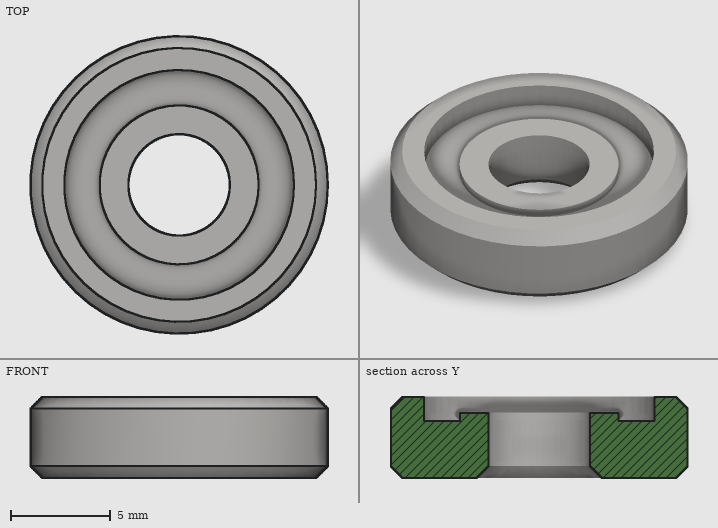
import cadquery as cq

outer_diameter = 15.0
height = 4.1
edge_chamfer = 0.6

recess_diameter = 11.58
recess_depth = 1.2
hub_diameter = 8.01
hub_setback = 0.8
bore_diameter = 5.1

floor_height = height - recess_depth
hub_top = height - hub_setback


def disc(diameter, bottom, top):
    """Solid disc on the Z axis between two heights."""
    return cq.Workplane("XY", origin=(0, 0, bottom)).circle(diameter / 2).extrude(top - bottom)


body = disc(outer_diameter, 0, height).edges().chamfer(edge_chamfer)

body = body.cut(disc(recess_diameter, floor_height, height))
body = body.union(disc(hub_diameter, floor_height, hub_top))

body = body.cut(disc(bore_diameter, 0, height))
bore_mouth = (
    cq.Workplane("XY")
    .circle(bore_diameter / 2 + edge_chamfer)
    .workplane(offset=edge_chamfer)
    .circle(bore_diameter / 2)
    .loft()
)

result = body.cut(bore_mouth)